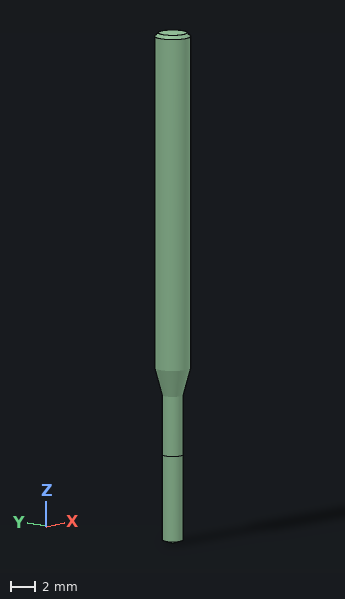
import cadquery as cq
import math

total_length = 43.0

shank_diameter = 3.0
shank_chamfer = 0.3
taper_top_height = 14.8
taper_bottom_height = 12.5

head_diameter = 1.75
head_top_height = 7.5
point_angle = 140.0

shank_radius = shank_diameter / 2
head_radius = head_diameter / 2
point_height = head_radius / math.tan(math.radians(point_angle / 2))


def revolve_about_z(profile):
    """Turn a closed (radius, height) outline about the Z axis."""
    return cq.Workplane("XZ").polyline(profile).close().revolve(360, (0, 0), (0, 1))


def make_shank():
    """Chamfered shank that tapers down to the neck carrying the head."""
    return revolve_about_z([
        (0, head_top_height),
        (head_radius, head_top_height),
        (head_radius, taper_bottom_height),
        (shank_radius, taper_top_height),
        (shank_radius, total_length - shank_chamfer),
        (shank_radius - shank_chamfer, total_length),
        (0, total_length),
    ])


def make_cutting_head():
    """Plain cylinder with a conical point at the origin."""
    return revolve_about_z([
        (0, 0),
        (head_radius, point_height),
        (head_radius, head_top_height),
        (0, head_top_height),
    ])


shank = make_shank()
cutting_head = make_cutting_head()

result = cq.Compound.makeCompound([shank.val(), cutting_head.val()])